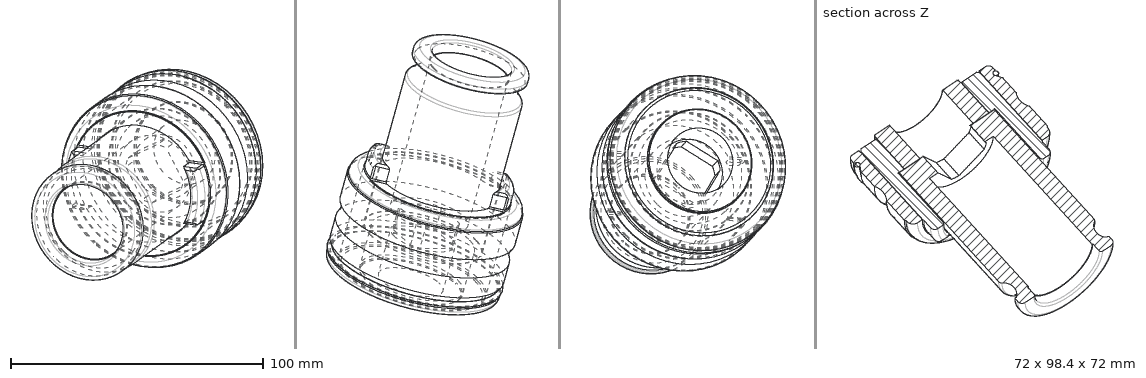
import cadquery as cq
import math

SHANK_END = -49.2
BUSH_END = 49.2

SHANK_R = 24.0
SHANK_BACK = 29.5
SHOULDER_FILLET = 1.5
NECK_TOP = -36.0
NECK_BOTTOM = -44.8
NECK_MIDDLE = -40.8
NECK_R = 20.85
NECK_BOTTOM_R = 22.7
RIM_R = 23.7
RIM_BACK_FILLET = 0.5
RIM_END_FILLET = 2.1
MOUTH_R = 16.3
MOUTH_DEPTH = 5.1
MOUTH_FILLET = 0.9
BORE_R = 15.9
SQUARE_WIDTH = 20.3
SQUARE_CORNER_R = 12.5
SHANK_TURN = -30.0
SQUARE_DEPTH = 19.7

HUB_R = 30.2
HUB_CLEARANCE = 0.3
HUB_BORE_R = SHANK_R + HUB_CLEARANCE
HUB_FRONT = 6.3
HUB_BACK = 47.4
HUB_FRONT_CHAMFER = 0.4
HUB_BACK_CHAMFER = 1.2
LUG_R = 29.9
LUG_END = -0.8
LUG_HALF_HEIGHT = 11.9
LUG_OUTER_FILLET = 2.2
LUG_INNER_FILLET = 1.1
LUG_SIDE_CHAMFER = 1.1
LUG_CORNER_WIDTH = 0.6
LUG_CORNER_DROP = 0.4
LUG_FOOT_CHAMFER = 0.6

SLEEVE_R = 36.0
SLEEVE_REAR_R = 35.7
SLEEVE_LIP_R = 35.5
SLEEVE_FRONT = HUB_FRONT
SLEEVE_BACK = 47.3
FRONT_LIP_LENGTH = 3.6
FRONT_LIP_FILLET = 2.95
STEP_CHAMFER = 0.4
WAIST_FRONT = 22.0
WAIST_BACK = 30.2
WAIST_R = 34.6
CONE_FRONT = 38.9
CONE_BACK = 41.2
CONE_SMALL_R = 34.4
BACK_LIP_FRONT = 43.9
BACK_LIP_FILLET = 2.0
BACK_LIP_CHAMFER = 0.5

RING_WIRE_R = 1.1
RING_CENTRE_R = SLEEVE_R - RING_WIRE_R
RING_Y = (CONE_BACK + BACK_LIP_FRONT - BACK_LIP_CHAMFER) / 2

BUSH_R = 21.1
BUSH_CHAMFER = 0.4
BUSH_BORE_R = 13.3

MARGIN = 0.01


def turned(outline):
    """Revolve a closed outline of (radius, Y) about the Y axis."""
    return outline.close().revolve(360, (0, 0, 0), (0, 1, 0))


def cylinder(radius, front, back):
    """Solid cylinder on the Y axis between two Y positions."""
    return cq.Workplane("XZ", origin=(0, front, 0)).circle(radius).extrude(front - back)


def edge_at(body, radius, y):
    """Circular edge centred on the Y axis with the given radius and Y position."""
    low = (-MARGIN, y - MARGIN, -MARGIN)
    high = (MARGIN, y + MARGIN, MARGIN)
    circles = body.edges("%CIRCLE").edges(cq.selectors.BoxSelector(low, high))
    return circles.filter(lambda edge: abs(edge.radius() - radius) < MARGIN)


def make_shank():
    body = turned(
        cq.Workplane("XY")
        .moveTo(0, SHANK_END)
        .lineTo(RIM_R, SHANK_END)
        .lineTo(RIM_R, NECK_BOTTOM)
        .lineTo(NECK_BOTTOM_R, NECK_BOTTOM)
        .threePointArc((NECK_R, NECK_MIDDLE), (SHANK_R, NECK_TOP))
        .lineTo(SHANK_R, SHANK_BACK)
        .lineTo(0, SHANK_BACK)
    )
    body = edge_at(body, SHANK_R, NECK_TOP).fillet(SHOULDER_FILLET)
    body = edge_at(body, RIM_R, SHANK_END).fillet(RIM_END_FILLET)
    body = edge_at(body, RIM_R, NECK_BOTTOM).fillet(RIM_BACK_FILLET)

    mouth_step = SHANK_END + MOUTH_DEPTH
    body = body.cut(cylinder(MOUTH_R, SHANK_END, mouth_step))
    body = body.cut(cylinder(BORE_R, mouth_step, SQUARE_DEPTH))
    body = edge_at(body, MOUTH_R, SHANK_END).fillet(MOUTH_FILLET)

    square = (
        cq.Workplane("XY")
        .box(SQUARE_WIDTH, SHANK_BACK - SQUARE_DEPTH, SQUARE_WIDTH)
        .translate((0, (SHANK_BACK + SQUARE_DEPTH) / 2, 0))
        .intersect(cylinder(SQUARE_CORNER_R, SQUARE_DEPTH, SHANK_BACK))
    )
    return body.cut(square).rotate((0, 0, 0), (0, 1, 0), SHANK_TURN)


def make_lugs():
    foot_front = HUB_FRONT - LUG_FOOT_CHAMFER
    root = HUB_FRONT + HUB_FRONT_CHAMFER
    ring = turned(
        cq.Workplane("XY")
        .moveTo(HUB_BORE_R, LUG_END)
        .lineTo(LUG_R, LUG_END)
        .lineTo(LUG_R, foot_front)
        .lineTo(HUB_R, HUB_FRONT)
        .lineTo(HUB_R, root)
        .lineTo(HUB_BORE_R, root)
    )
    ring = edge_at(ring, LUG_R, LUG_END).fillet(LUG_OUTER_FILLET)
    ring = edge_at(ring, HUB_BORE_R, LUG_END).fillet(LUG_INNER_FILLET)

    foot_half_height = LUG_HALF_HEIGHT + LUG_FOOT_CHAMFER
    side_outline = [
        (LUG_END, LUG_HALF_HEIGHT - LUG_SIDE_CHAMFER),
        (LUG_END + LUG_SIDE_CHAMFER, LUG_HALF_HEIGHT),
        (foot_front, LUG_HALF_HEIGHT),
        (HUB_FRONT, foot_half_height),
        (root, foot_half_height),
    ]
    mirrored = [(y, -z) for y, z in reversed(side_outline)]
    bar = cq.Workplane("YZ").polyline(side_outline + mirrored).close().extrude(HUB_R, both=True)
    lugs = ring.intersect(bar)

    corner_x = math.sqrt(LUG_R ** 2 - LUG_HALF_HEIGHT ** 2)
    corner = (
        cq.Workplane("XZ", origin=(0, LUG_END, 0))
        .polyline([
            (corner_x - LUG_CORNER_WIDTH, LUG_HALF_HEIGHT),
            (corner_x + LUG_CORNER_WIDTH, LUG_HALF_HEIGHT),
            (corner_x + LUG_CORNER_WIDTH, LUG_HALF_HEIGHT - 2 * LUG_CORNER_DROP),
        ])
        .close()
        .extrude(LUG_END - foot_front)
    )
    corner_pair = corner.union(corner.mirror("XY"))
    return lugs.cut(corner_pair).cut(corner_pair.mirror("YZ"))


def make_hub():
    body = cylinder(HUB_R, HUB_FRONT, HUB_BACK)
    body = body.faces("<Y").chamfer(HUB_FRONT_CHAMFER)
    body = body.faces(">Y").chamfer(HUB_BACK_CHAMFER)
    body = body.union(make_lugs())
    body = body.cut(cylinder(HUB_BORE_R, LUG_END, SHANK_BACK))
    return body.cut(cylinder(BUSH_R, SHANK_BACK, HUB_BACK))


def make_snap_ring():
    return (
        cq.Workplane("XY")
        .center(RING_CENTRE_R, RING_Y)
        .circle(RING_WIRE_R)
        .revolve(360, (-RING_CENTRE_R, 0, 0), (-RING_CENTRE_R, 1, 0))
    )


def make_sleeve(snap_ring):
    front_lip_back = SLEEVE_FRONT + FRONT_LIP_LENGTH
    body = turned(
        cq.Workplane("XY")
        .moveTo(HUB_R, SLEEVE_FRONT)
        .lineTo(SLEEVE_LIP_R, SLEEVE_FRONT)
        .lineTo(SLEEVE_LIP_R, front_lip_back)
        .lineTo(SLEEVE_R, front_lip_back + STEP_CHAMFER)
        .lineTo(SLEEVE_R, WAIST_FRONT)
        .threePointArc((WAIST_R, (WAIST_FRONT + WAIST_BACK) / 2), (SLEEVE_REAR_R, WAIST_BACK))
        .lineTo(SLEEVE_REAR_R, CONE_FRONT)
        .lineTo(CONE_SMALL_R, CONE_BACK)
        .lineTo(CONE_SMALL_R, BACK_LIP_FRONT - BACK_LIP_CHAMFER)
        .lineTo(SLEEVE_LIP_R - BACK_LIP_CHAMFER, BACK_LIP_FRONT - BACK_LIP_CHAMFER)
        .lineTo(SLEEVE_LIP_R, BACK_LIP_FRONT)
        .lineTo(SLEEVE_LIP_R, SLEEVE_BACK)
        .lineTo(HUB_R, SLEEVE_BACK)
    )
    body = edge_at(body, SLEEVE_LIP_R, SLEEVE_FRONT).fillet(FRONT_LIP_FILLET)
    body = edge_at(body, SLEEVE_LIP_R, SLEEVE_BACK).fillet(BACK_LIP_FILLET)
    return body.cut(snap_ring)


def make_release_bush():
    body = cylinder(BUSH_R, SHANK_BACK, BUSH_END).faces(">Y").chamfer(BUSH_CHAMFER)
    return body.cut(cylinder(BUSH_BORE_R, SHANK_BACK, BUSH_END))


shank = make_shank()
hub = make_hub()
snap_ring = make_snap_ring()
sleeve = make_sleeve(snap_ring)
release_bush = make_release_bush()

result = cq.Compound.makeCompound([
    shank.val(), hub.val(), sleeve.val(), snap_ring.val(), release_bush.val(),
])